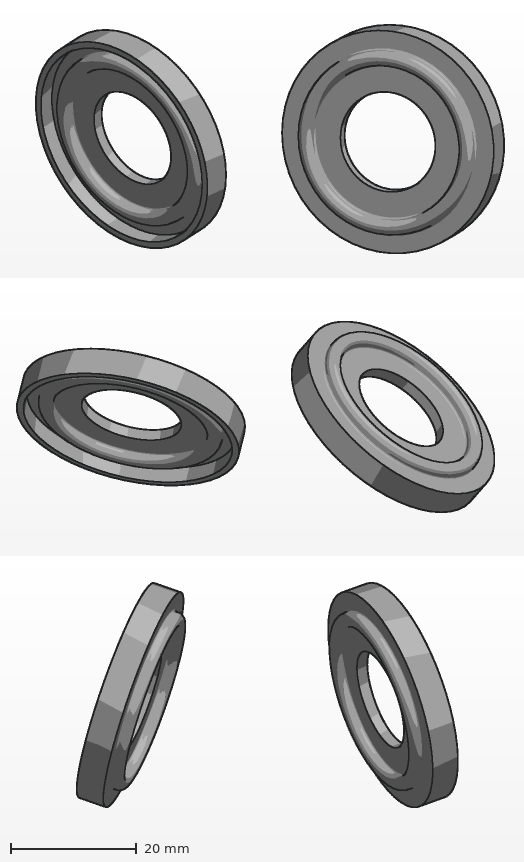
import cadquery as cq

outer_diameter = 36.2
recess_diameter = 34.0
bore_diameter = 16.2
bead_outer_diameter = 29.9
bead_inner_diameter = 25.1
bead_height = 1.9
total_depth = 6.4
recess_depth = 2.65
foot_fillet = 0.35

rear_face = total_depth - bead_height
web_thickness = rear_face - recess_depth
bead_crest_radius = (bead_outer_diameter + bead_inner_diameter) / 4
bead_round = (bead_outer_diameter - bead_inner_diameter) / 4


def disc(diameter, start, depth):
    """Solid disc centred on the Y axis, from Y = start to start + depth."""
    plane = cq.Workplane("XZ", origin=(0, start, 0))
    return plane.circle(diameter / 2).extrude(-depth)


def bead(face, direction):
    """Round-topped ring with filleted feet, rising from a web face along +Y or -Y."""
    inner = bead_inner_diameter / 2
    outer = bead_outer_diameter / 2
    root = face - direction * web_thickness / 4
    fillet_top = face + direction * foot_fillet
    shoulder = face + direction * (bead_height - bead_round)
    crest = face + direction * bead_height
    bulge = foot_fillet * (1 - 0.5 ** 0.5)
    profile = (
        cq.Workplane("XY")
        .moveTo(inner - foot_fillet, root)
        .lineTo(inner - foot_fillet, face)
        .threePointArc((inner - bulge, face + direction * bulge), (inner, fillet_top))
        .lineTo(inner, shoulder)
        .threePointArc((bead_crest_radius, crest), (outer, shoulder))
        .lineTo(outer, fillet_top)
        .threePointArc((outer + bulge, face + direction * bulge), (outer + foot_fillet, face))
        .lineTo(outer + foot_fillet, root)
        .close()
    )
    return profile.revolve(360, (0, 0, 0), (0, 1, 0))


body = disc(outer_diameter, 0, rear_face)
body = body.cut(disc(recess_diameter, 0, recess_depth))
body = body.cut(disc(bore_diameter, 0, rear_face))
result = body.union(bead(rear_face, 1)).union(bead(recess_depth, -1))